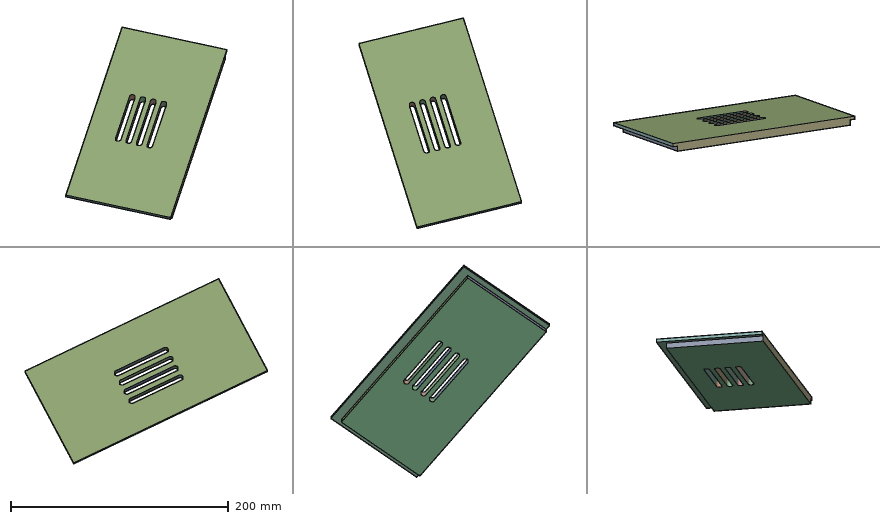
import cadquery as cq

plate_width = 100.0
plate_length = 200.0
plate_thickness = 3.0

block_thickness = 5.0
left_margin = 8.5
end_margin = 5.0
block_width = plate_width - left_margin
block_length = plate_length - 2 * end_margin

slot_count = 4
slot_width = 5.2
slot_length = 55.0
slot_pitch = 10.0
first_slot_x = 30.0

total_thickness = plate_thickness + block_thickness


def make_block():
    return cq.Workplane("XY").box(block_width, block_length, block_thickness, centered=False).translate(
        (left_margin, end_margin, 0)
    )


def make_plate():
    return cq.Workplane("XY").box(plate_width, plate_length, plate_thickness, centered=False).translate(
        (0, 0, block_thickness)
    )


def make_slots():
    centers = [(first_slot_x + i * slot_pitch, plate_length / 2) for i in range(slot_count)]
    return cq.Workplane("XY").pushPoints(centers).slot2D(slot_length, slot_width, 90).extrude(total_thickness)


result = make_plate().union(make_block()).cut(make_slots())